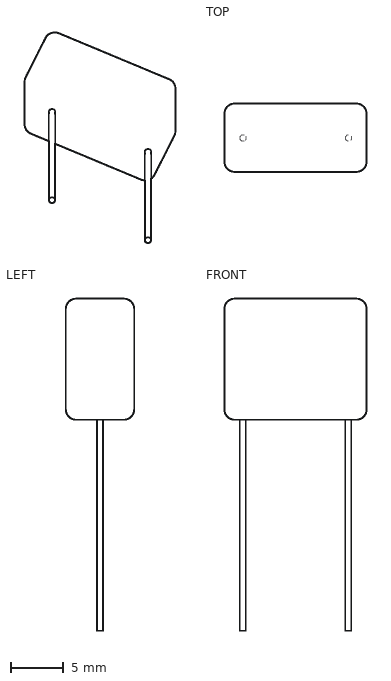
import cadquery as cq

body_length = 13.5
body_width = 6.5
body_height = 11.5
edge_radius = 1.0

lead_diameter = 0.6
lead_pitch = 10.0
lead_length = 20.0
lead_embed = edge_radius


def make_body():
    """Block resting on Z = 0 with every edge rounded."""
    block = cq.Workplane("XY").box(body_length, body_width, body_height, centered=(True, True, False))
    return block.edges().fillet(edge_radius)


def make_lead(x):
    """Round wire hanging below the body at the given X position."""
    return (
        cq.Workplane("XY", origin=(x, 0, -lead_length))
        .circle(lead_diameter / 2)
        .extrude(lead_length + lead_embed)
    )


result = make_body()
for side in (-1, 1):
    result = result.union(make_lead(side * lead_pitch / 2))